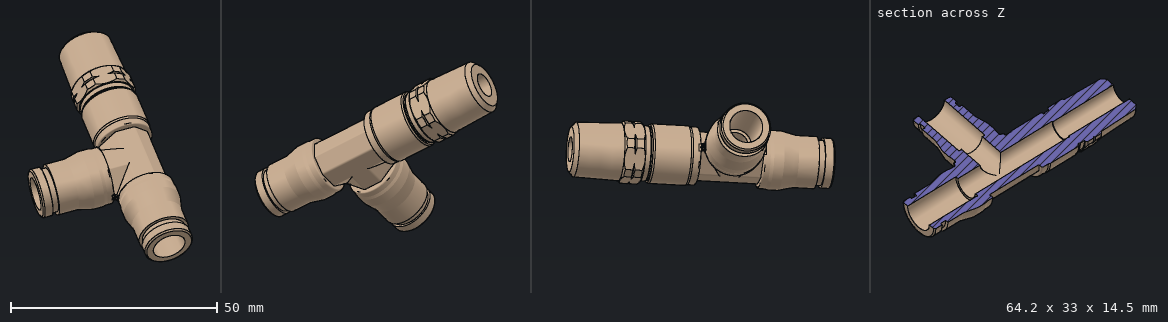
import cadquery as cq
import math


total_length = 64.25
arm_length = 25.5
male_end = arm_length - total_length

collar_start = 7.7
collar_end = 9.45
collar_radius = 7.05
collar_round = 0.4

sleeve_radius = 7.25
sleeve_start = 10.3
sleeve_end = 12.8
barrel_start = 16.5
barrel_radius = 6.35
barrel_end = 21.5
groove_radius = 5.5
ring_start = 23.05
ring_radius = 6.1
ring_chamfer = 0.4

tube_radius = 4.05
flow_radius = 3.245
male_bore_radius = 2.99

thread_tip_radius = 5.5
thread_chamfer = 1.1
thread_length = 12.2
thread_small_radius = 6.7
thread_large_radius = thread_small_radius + (thread_length - thread_chamfer) / 32
hex_end = 17.4
neck_radius = 6.75
neck_end = 18.7
neck_bevel = 0.2
swivel_start = 19.2
swivel_chamfer = 0.45
swivel_end = 28.6
swivel_step = 0.5

hex_half_flats = 7.1
hex_half_corners = 7.5
hex_end_radius = 7.05
hex_end_bevel = 0.6
hex_groove_radius = 7.2
hex_groove_half_width = 0.3

body_half_height = 5.5
body_back = 5.8
body_ridge = 7.95
body_edge_round = 0.8
web_half_thickness = 0.9
web_edge = 8.3


def revolve_about_x(points):
    """Turn a half outline of (x, radius) points about the X axis."""
    return cq.Workplane("XY").polyline(points).close().revolve(360, (0, 0, 0), (1, 0, 0))


def cylinder_along_x(start, end, radius):
    return cq.Workplane("YZ", origin=(start, 0, 0)).circle(radius).extrude(end - start)


def to_branch(shape):
    """Swing a shape lying along +X round to -Y."""
    return shape.rotate((0, 0, 0), (0, 0, 1), -90)


def make_socket():
    outline = [
        (collar_start, 0),
        (collar_start, collar_radius),
        (collar_end, collar_radius),
        (sleeve_start, sleeve_radius),
        (sleeve_end, sleeve_radius),
        (barrel_start, barrel_radius),
        (barrel_end, barrel_radius),
        (barrel_end, groove_radius),
        (ring_start, groove_radius),
        (ring_start, ring_radius),
        (arm_length - ring_chamfer, ring_radius),
        (arm_length, ring_radius - ring_chamfer),
        (arm_length, 0),
    ]
    return revolve_about_x(outline).faces("<X").edges().fillet(collar_round)


def make_male_adapter():
    outline = [
        (0, 0),
        (0, thread_tip_radius),
        (thread_chamfer, thread_small_radius),
        (thread_length, thread_large_radius),
        (thread_length, neck_radius),
        (neck_end, neck_radius),
        (neck_end + neck_bevel, neck_radius - neck_bevel),
        (swivel_start, neck_radius - neck_bevel),
        (swivel_start, sleeve_radius - swivel_chamfer / 2),
        (swivel_start + swivel_chamfer, sleeve_radius),
        (swivel_end, sleeve_radius),
        (swivel_end + swivel_step, collar_radius),
        (-collar_start - male_end, collar_radius),
        (-collar_start - male_end, 0),
    ]
    turned = revolve_about_x(outline).faces(">X").edges().fillet(collar_round)
    return turned.union(make_hexagon()).translate((male_end, 0, 0))


def hexagonal_prism(half_flats):
    """Hexagonal bar in the wrench zone with two corners on the Y axis."""
    corner_diameter = 2 * half_flats / math.cos(math.pi / 6)
    return (
        cq.Workplane("YZ", origin=(thread_length, 0, 0))
        .polygon(6, corner_diameter)
        .extrude(hex_end - thread_length)
    )


def make_hexagon():
    corner_cut = hexagonal_prism(hex_half_corners).rotate((0, 0, 0), (1, 0, 0), 30)
    bevel_top = hex_end_radius + hex_end_bevel
    middle = (thread_length + hex_end) / 2
    envelope = revolve_about_x([
        (thread_length, 0),
        (thread_length, hex_end_radius),
        (thread_length + hex_end_bevel, bevel_top),
        (middle - hex_groove_half_width, bevel_top),
        (middle, hex_groove_radius),
        (middle + hex_groove_half_width, bevel_top),
        (hex_end - hex_end_bevel, bevel_top),
        (hex_end, hex_end_radius),
        (hex_end, 0),
    ])
    return hexagonal_prism(hex_half_flats).intersect(corner_cut).intersect(envelope)


def flanked_bar(start, end):
    """Bar along X with flat top and bottom, 45 degree flanks and a ridge on each side."""
    flank_top = body_ridge - body_half_height
    outline = [
        (-body_ridge, 0),
        (-flank_top, body_half_height),
        (flank_top, body_half_height),
        (body_ridge, 0),
        (flank_top, -body_half_height),
        (-flank_top, -body_half_height),
    ]
    bar = cq.Workplane("YZ", origin=(start, 0, 0)).polyline(outline).close().extrude(end - start)
    return bar.faces("|Z").edges("|X").fillet(body_edge_round)


def make_run():
    """Bar through the tee, with the ridge opposite the branch cut to a flat back."""
    beyond_back = cq.Workplane("XY").box(3 * collar_start, body_ridge, 3 * body_half_height)
    bar = flanked_bar(-collar_start, collar_start)
    bar = bar.cut(beyond_back.translate((0, body_back + body_ridge / 2, 0)))
    return bar.faces(">Y").edges("|X").fillet(body_edge_round)


def make_corner_webs():
    """Flat plate on the mid plane that bridges the two inner corners of the tee with coved edges."""
    cove_radius = web_edge - collar_radius
    cove_middle = web_edge - cove_radius * math.sqrt(0.5)
    return (
        cq.Workplane("XY", origin=(0, 0, -web_half_thickness))
        .moveTo(-web_edge, 0)
        .lineTo(-web_edge, -collar_radius)
        .threePointArc((-cove_middle, -cove_middle), (-collar_radius, -web_edge))
        .lineTo(collar_radius, -web_edge)
        .threePointArc((cove_middle, -cove_middle), (web_edge, -collar_radius))
        .lineTo(web_edge, 0)
        .close()
        .extrude(2 * web_half_thickness)
    )


def make_tee_body():
    branch = to_branch(flanked_bar(0, collar_start))
    return make_run().union(branch).union(make_corner_webs())


def make_bores():
    flow = cylinder_along_x(0, arm_length, flow_radius)
    tube = cylinder_along_x(sleeve_start, arm_length, tube_radius)
    socket_bore = flow.union(tube)
    adapter_joint = male_end + swivel_start
    run_bore = cylinder_along_x(adapter_joint, 0, flow_radius)
    male_bore = cylinder_along_x(male_end, adapter_joint, male_bore_radius)
    return socket_bore.union(to_branch(socket_bore)).union(run_bore).union(male_bore)


socket = make_socket()
result = (
    make_tee_body()
    .union(socket)
    .union(to_branch(socket))
    .union(make_male_adapter())
    .cut(make_bores())
)